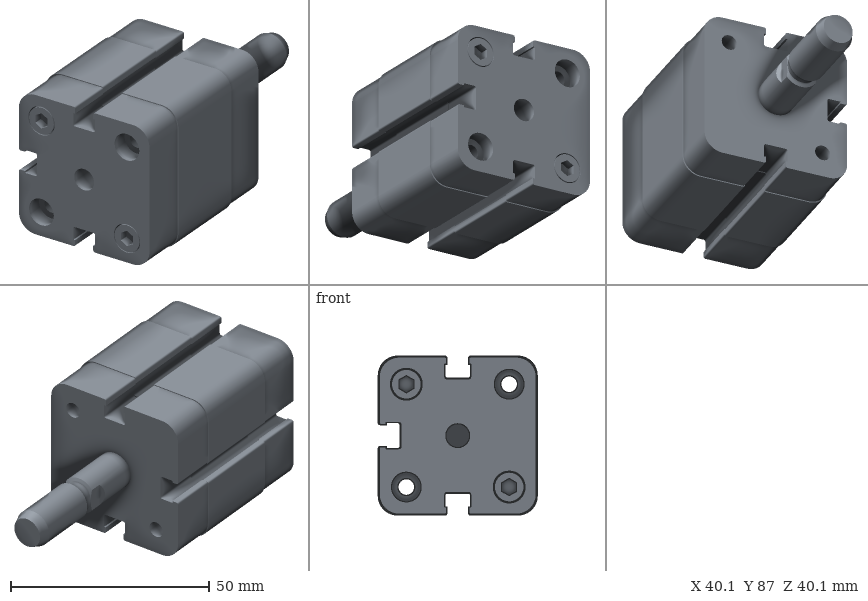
import cadquery as cq
import math


total_length = 87.0
barrel_side = 40.1
cap_inset = 0.3
cap_side = barrel_side - 2 * cap_inset
cap_length = 12.7
body_length = 49.5
barrel_length = body_length - 2 * cap_length
corner_radius = 5.0

slot_mouth_width = 5.5
slot_inner_width = 6.5
slot_lip = 1.8
slot_depth = 5.5
slot_mouth_round = 0.5
slot_floor_round = 0.5
slot_angles = (0, 90, 180)

hole_offset = 25.9 / 2
mount_hole_diameter = 4.2
mount_bore_diameter = 7.5
mount_bore_depth = 4.5
screw_recess_diameter = 8.0
screw_head_diameter = 7.5
screw_head_height = 5.0
hex_flats = 3.7
hex_depth = 2.5
center_hole_diameter = 6.0
center_hole_depth = 7.8

rod_diameter = 10.0
rod_relief_diameter = 8.0
tip_taper_length = 2.6
thread_end = 19.4
relief_end = 21.75
shoulder_length = 0.5
flat_end = 25.5
wrench_width = 8.0


def slotted_block(side, start, length):
    """Rounded square prism along +Y with undercut slots in three faces."""
    block = front_plane(start).rect(side, side).extrude(-length)
    block = block.edges("|Y").fillet(corner_radius)
    for angle in slot_angles:
        block = block.cut(slot_cutter(side, start, length).rotate((0, 0, 0), (0, 1, 0), -angle))
    return block


def front_plane(y):
    """Workplane facing -Y at the given Y, with its axes along X and Z."""
    return cq.Workplane("XZ", origin=(0, y, 0))


def slot_cutter(side, start, length):
    """Slot opening through the top face, with rounded lips and floor corners."""
    top = side / 2
    mouth = slot_mouth_width / 2
    inner = slot_inner_width / 2
    lip = top - slot_lip
    floor = top - slot_depth
    round_start = top - slot_mouth_round
    round_end = mouth + slot_mouth_round
    round_mid = slot_mouth_round * (1 - math.sqrt(0.5))
    cutter = (
        front_plane(start)
        .moveTo(-inner, floor)
        .lineTo(inner, floor)
        .lineTo(inner, lip)
        .lineTo(mouth, lip)
        .lineTo(mouth, round_start)
        .threePointArc((mouth + round_mid, top - round_mid), (round_end, top))
        .lineTo(-round_end, top)
        .threePointArc((-mouth - round_mid, top - round_mid), (-mouth, round_start))
        .lineTo(-mouth, lip)
        .lineTo(-inner, lip)
        .close()
        .extrude(-length)
    )
    return cutter.edges("|Y").edges("<Z").fillet(slot_floor_round)


def make_body():
    """Barrel between two slightly smaller end caps."""
    front_cap = slotted_block(cap_side, 0, cap_length)
    barrel = slotted_block(barrel_side, cap_length, barrel_length)
    rear_cap = slotted_block(cap_side, cap_length + barrel_length, cap_length)
    return front_cap.union(barrel).union(rear_cap)


def drill(diameter, depth, points):
    """Cylinders running from the front face to the given depth."""
    return front_plane(0).pushPoints(points).circle(diameter / 2).extrude(-depth)


def cut_mounting_holes(body):
    """Counterbored through holes on one diagonal, plus the blind center hole."""
    points = [(hole_offset, hole_offset), (-hole_offset, -hole_offset)]
    body = body.cut(drill(mount_hole_diameter, body_length, points))
    body = body.cut(drill(mount_bore_diameter, mount_bore_depth, points))
    return body.cut(drill(center_hole_diameter, center_hole_depth, [(0, 0)]))


def add_screws(body):
    """Flush socket-head screws in clearance recesses on the other diagonal."""
    points = [(-hole_offset, hole_offset), (hole_offset, -hole_offset)]
    body = body.cut(drill(screw_recess_diameter, screw_head_height, points))
    body = body.union(drill(screw_head_diameter, screw_head_height, points))
    hex_corners = hex_flats / math.cos(math.pi / 6)
    for x, z in points:
        socket = front_plane(0).polygon(6, hex_corners).extrude(-hex_depth)
        socket = socket.rotate((0, 0, 0), (0, 1, 0), 90)
        body = body.cut(socket.translate((x, 0, z)))
    return body


def make_rod():
    """Turned rod with a tapered tip, a relief groove and two wrench flats."""
    radius = rod_diameter / 2
    relief = rod_relief_diameter / 2
    tip = total_length
    rod = (
        cq.Workplane("XY")
        .moveTo(0, body_length)
        .lineTo(radius, body_length)
        .lineTo(radius, tip - relief_end - shoulder_length)
        .lineTo(relief, tip - relief_end)
        .lineTo(relief, tip - thread_end)
        .lineTo(radius, tip - thread_end + shoulder_length)
        .lineTo(radius, tip - tip_taper_length)
        .lineTo(relief, tip)
        .lineTo(0, tip)
        .close()
        .revolve(360, (0, 0, 0), (0, 1, 0))
    )
    flat = wrench_width / 2
    ramp = radius - flat
    cutter = (
        cq.Workplane("XY")
        .moveTo(flat, tip - relief_end)
        .lineTo(flat, tip - flat_end)
        .lineTo(radius, tip - flat_end - ramp)
        .lineTo(radius, tip - relief_end)
        .close()
        .extrude(radius, both=True)
    )
    return rod.cut(cutter).cut(cutter.mirror("YZ"))


result = add_screws(cut_mounting_holes(make_body())).union(make_rod())